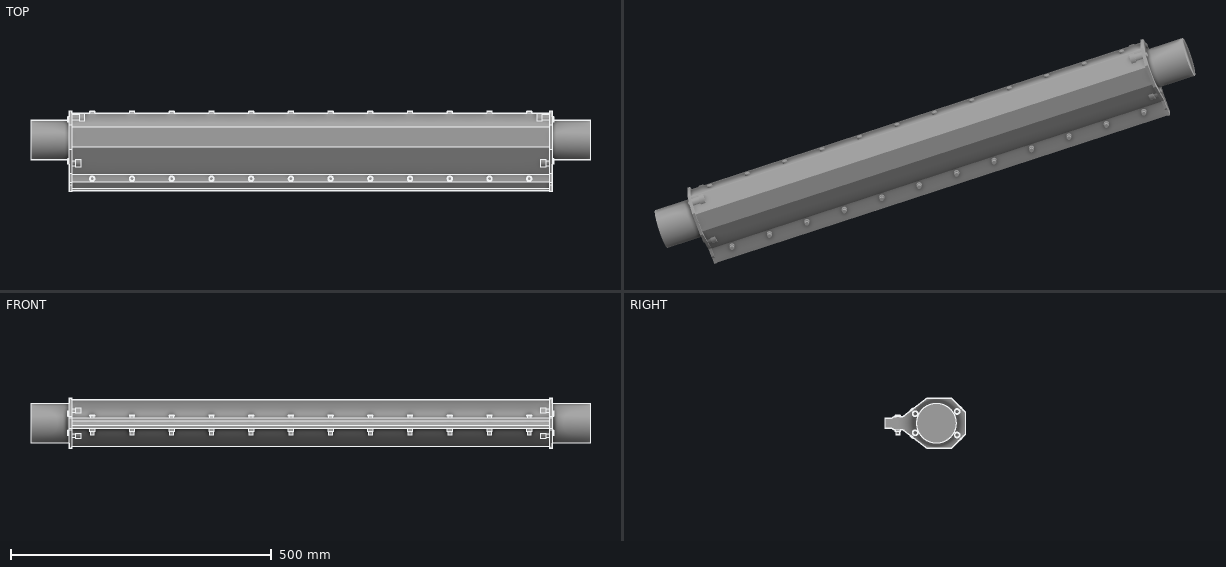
import cadquery as cq

SHAFT_LENGTH = 1072.0
SHAFT_DIAMETER = 76.0

PLATE_OUTER_X = 463.0
PLATE_THICKNESS = 5.0
PLATE_HALF_HEIGHT = 48.0
PLATE_BACK_Y = 56.0
PLATE_FRONT_Y = -99.0
PLATE_INNER_X = PLATE_OUTER_X - PLATE_THICKNESS

PLATE_UPPER_OUTLINE = [
    (PLATE_BACK_Y, 21.0),
    (29.0, PLATE_HALF_HEIGHT),
    (-18.0, PLATE_HALF_HEIGHT),
    (-64.0, 13.0),
    (-81.0, 13.0),
    (-86.0, 10.0),
    (PLATE_FRONT_Y, 10.0),
]

HOUSING_HALF_HEIGHT = 45.0
HOUSING_BACK_Y = 51.0
CHAMFER_FOOT_Z = 18.0
SLOPE_TOP_Y = -13.0
NECK_START_Y = -66.0
NECK_HALF_HEIGHT = 10.0
NECK_END_Y = -80.0
LIP_SLOPE_END_Y = -93.0
LIP_FRONT_Y = -98.0
LIP_FRONT_TOP_Z = -4.0
LIP_SLOPE_TOP_Z = 4.0
CHAMFER_TOP_Y = HOUSING_BACK_Y - (HOUSING_HALF_HEIGHT - CHAMFER_FOOT_Z)

HEAD_BEVEL = 1.0

SCREW_COUNT = 12
SCREW_PITCH = 76.0
SCREW_HEAD_DIAMETER = 10.2
SCREW_SHANK_DIAMETER = 7.6
NECK_SCREW_Y = -74.0
NECK_SCREW_TOP_Z = 16.0
NECK_SCREW_HEAD_HEIGHT = 2.0
NECK_SCREW_BOTTOM_Z = -23.0
NECK_NUT_HEIGHT = 6.0
BACK_SCREW_HEAD_HEIGHT = 4.0

BOLT_HEAD_DIAMETER = 11.0
BOLT_HEAD_HEIGHT = 3.0
FRONT_BOLT_Y = -41.0
FRONT_BOLT_Z = 18.0
BACK_BOLT_Y = 40.0
BACK_BOLT_Z = 23.0

NUT_DIAMETER = 23.0
NUT_LENGTH = 10.0
FRONT_NUT_GAP = 8.0
BACK_NUT_GAP = 15.0
COLLAR_DIAMETER = 18.0


def mirrored_outline(upper_points):
    """Close an upper outline with its reflection below the XY plane."""
    return upper_points + [(y, -z) for y, z in reversed(upper_points)]


def prism(outline, x_start, x_end):
    """Extrude a (y, z) outline along X."""
    return cq.Workplane("YZ", origin=(x_start, 0, 0)).polyline(outline).close().extrude(x_end - x_start)


def rod_x(diameter, x_start, x_end, y=0.0, z=0.0):
    """Round bar along X."""
    return cq.Workplane("YZ", origin=(x_start, y, z)).circle(diameter / 2).extrude(x_end - x_start)


def rod_z(diameter, x, y, z_start, z_end):
    """Round bar along Z."""
    return cq.Workplane("XY", origin=(x, y, z_start)).circle(diameter / 2).extrude(z_end - z_start)


def make_housing():
    """Solid casing with chamfered and sloped walls that narrows to a neck and a sloped lower lip."""
    outline = [
        (HOUSING_BACK_Y, -CHAMFER_FOOT_Z),
        (HOUSING_BACK_Y, CHAMFER_FOOT_Z),
        (CHAMFER_TOP_Y, HOUSING_HALF_HEIGHT),
        (SLOPE_TOP_Y, HOUSING_HALF_HEIGHT),
        (NECK_START_Y, NECK_HALF_HEIGHT),
        (NECK_END_Y, NECK_HALF_HEIGHT),
        (NECK_END_Y, LIP_SLOPE_TOP_Z),
        (LIP_SLOPE_END_Y, LIP_FRONT_TOP_Z),
        (LIP_FRONT_Y, LIP_FRONT_TOP_Z),
        (LIP_FRONT_Y, -NECK_HALF_HEIGHT),
        (NECK_START_Y, -NECK_HALF_HEIGHT),
        (SLOPE_TOP_Y, -HOUSING_HALF_HEIGHT),
        (CHAMFER_TOP_Y, -HOUSING_HALF_HEIGHT),
    ]
    return prism(outline, -PLATE_INNER_X, PLATE_INNER_X)


def neck_screw(x):
    """Screw through the neck: head above, nut below, shank past the nut."""
    shank = rod_z(SCREW_SHANK_DIAMETER, x, NECK_SCREW_Y, NECK_SCREW_BOTTOM_Z, NECK_SCREW_TOP_Z)
    head_base_z = NECK_SCREW_TOP_Z - NECK_SCREW_HEAD_HEIGHT
    head = rod_z(SCREW_HEAD_DIAMETER, x, NECK_SCREW_Y, head_base_z, NECK_SCREW_TOP_Z)
    head = head.faces(">Z").chamfer(HEAD_BEVEL)
    nut_base_z = -NECK_HALF_HEIGHT - NECK_NUT_HEIGHT
    nut = rod_z(SCREW_HEAD_DIAMETER, x, NECK_SCREW_Y, nut_base_z, -NECK_HALF_HEIGHT)
    return shank.union(head).union(nut)


def back_screw(x):
    """Screw head on the back wall."""
    back_wall = cq.Workplane("XZ", origin=(x, HOUSING_BACK_Y, 0))
    head = back_wall.circle(SCREW_HEAD_DIAMETER / 2).extrude(-BACK_SCREW_HEAD_HEIGHT)
    return head.faces(">Y").chamfer(HEAD_BEVEL)


def plate_bolt(y, z, nut_gap):
    """Bolt of the -X plate: outer head, and a nut at a gap behind the plate."""
    head = rod_x(BOLT_HEAD_DIAMETER, -PLATE_OUTER_X - BOLT_HEAD_HEIGHT, -PLATE_INNER_X, y, z)
    head = head.faces("<X").chamfer(HEAD_BEVEL)
    nut_start = -PLATE_INNER_X + nut_gap
    collar = rod_x(COLLAR_DIAMETER, -PLATE_INNER_X, nut_start, y, z)
    nut = rod_x(NUT_DIAMETER, nut_start, nut_start + NUT_LENGTH, y, z)
    return head.union(collar).union(nut)


def make_end():
    """Plate and its four bolts at the -X end."""
    end = prism(mirrored_outline(PLATE_UPPER_OUTLINE), -PLATE_OUTER_X, -PLATE_INNER_X)
    for side in (1, -1):
        end = end.union(plate_bolt(FRONT_BOLT_Y, side * FRONT_BOLT_Z, FRONT_NUT_GAP))
        end = end.union(plate_bolt(BACK_BOLT_Y, side * BACK_BOLT_Z, BACK_NUT_GAP))
    return end


end = make_end()
result = rod_x(SHAFT_DIAMETER, -SHAFT_LENGTH / 2, SHAFT_LENGTH / 2)
result = result.union(make_housing()).union(end).union(end.mirror("YZ"))

for index in range(SCREW_COUNT):
    screw_x = (index - (SCREW_COUNT - 1) / 2) * SCREW_PITCH
    result = result.union(neck_screw(screw_x)).union(back_screw(screw_x))